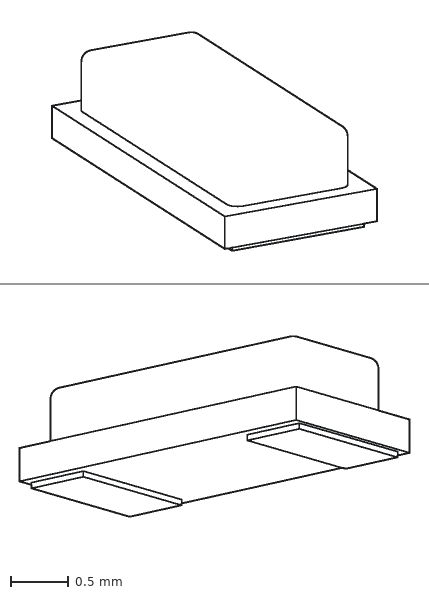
import cadquery as cq

length = 3.2
width = 1.5
total_height = 0.9

pad_height = 0.05
pad_length = 0.6
pad_width = 1.3
pad_end_inset = 0.05

base_height = 0.3
cover_inset = 0.16
cover_corner_radius = 0.11
cover_top_radius = 0.1

base_top = pad_height + base_height
cover_height = total_height - base_top
pad_offset = length / 2 - pad_end_inset - pad_length / 2


def make_block(size_x, size_y, height, bottom, center_x=0.0):
    """Rectangular block standing on the given level, centred across Y."""
    return (
        cq.Workplane("XY")
        .box(size_x, size_y, height, centered=(True, True, False))
        .translate((center_x, 0, bottom))
    )


def make_package():
    """Base plate in one piece with its round-edged cover."""
    base = make_block(length, width, base_height, pad_height)
    cover = make_block(length - 2 * cover_inset, width - 2 * cover_inset, cover_height, base_top)
    cover = cover.edges("|Z").fillet(cover_corner_radius)
    cover = cover.faces(">Z").edges().fillet(cover_top_radius)
    return base.union(cover)


def make_pad(center_x):
    """Flat terminal pad touching the underside of the base."""
    return make_block(pad_length, pad_width, pad_height, 0.0, center_x)


package = make_package()
pads = [make_pad(side * pad_offset) for side in (-1, 1)]

result = cq.Compound.makeCompound([package.val(), *(pad.val() for pad in pads)])